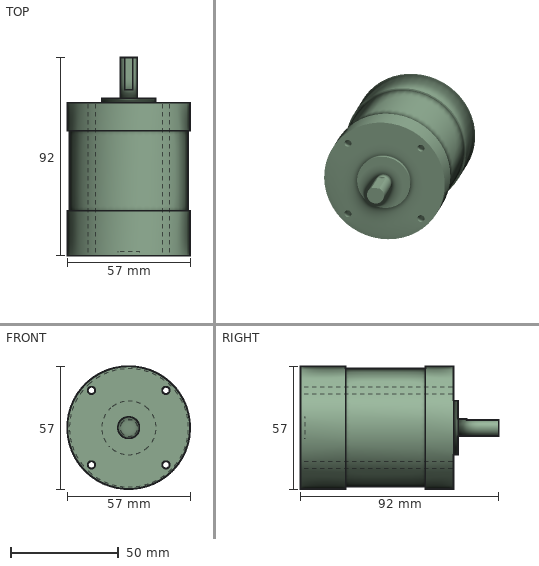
import cadquery as cq

overall_length = 92.0
cap_diameter = 57.0
barrel_diameter = 55.0
rear_cap_length = 21.0
barrel_length = 37.0
front_cap_length = 13.1

pilot_diameter = 25.0
pilot_length = 2.0

shaft_diameter = 8.0
flat_length = 15.0
flat_depth = 0.5

screw_hole_diameter = 3.3
screw_hole_spacing = 34.5

recess_diameter = 10.0
recess_depth = 2.0

barrel_start = rear_cap_length
front_cap_start = barrel_start + barrel_length
pilot_start = front_cap_start + front_cap_length
shaft_start = pilot_start + pilot_length
body_length = pilot_start


def cylinder(diameter, start, length, x=0, z=0):
    """Cylinder along +Y whose first end face lies at Y = start."""
    return cq.Workplane(
        cq.Solid.makeCylinder(diameter / 2, length, cq.Vector(x, start, z), cq.Vector(0, 1, 0))
    )


motor = (
    cylinder(cap_diameter, 0, rear_cap_length)
    .union(cylinder(barrel_diameter, barrel_start, barrel_length))
    .union(cylinder(cap_diameter, front_cap_start, front_cap_length))
    .union(cylinder(pilot_diameter, pilot_start, pilot_length))
    .union(cylinder(shaft_diameter, shaft_start, overall_length - shaft_start))
)

flat_cut = cq.Workplane("XY").box(
    shaft_diameter, flat_length, flat_depth, centered=(True, False, False)
).translate((0, overall_length - flat_length, shaft_diameter / 2 - flat_depth))
motor = motor.cut(flat_cut)

hole_offset = screw_hole_spacing / 2
for x in (-hole_offset, hole_offset):
    for z in (-hole_offset, hole_offset):
        motor = motor.cut(cylinder(screw_hole_diameter, 0, body_length, x, z))

motor = motor.cut(cylinder(recess_diameter, 0, recess_depth))

result = motor